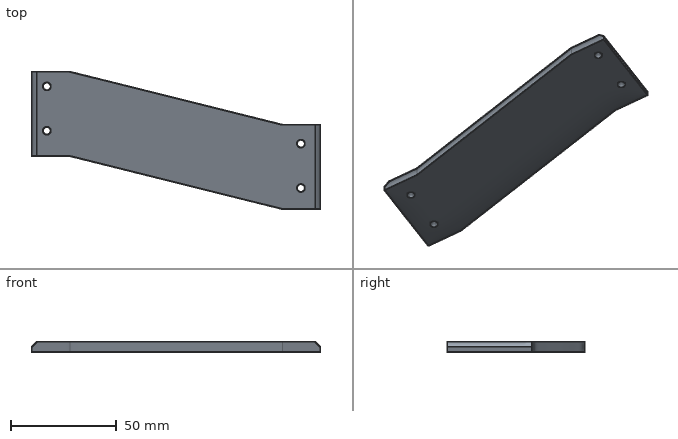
import cadquery as cq

total_length = 136.7
end_length = 18.0
width = 40.0
side_step = 25.11
thickness = 5.0
chamfer_size = 2.5

hole_diameter = 3.6
hole_spacing = 21.0
left_hole_inset = 7.2
left_hole_drop = 7.0
right_hole_inset = 9.2
right_hole_drop = 9.0

x_right = total_length / 2
x_left = -x_right
left_bend = x_left + end_length
right_bend = x_right - end_length
left_top = (width + side_step) / 2
left_bottom = left_top - width
right_top = left_top - side_step
right_bottom = right_top - width


def make_plate():
    """Flat plate with two parallel end tabs joined by a slanted middle."""
    outline = [
        (x_left, left_bottom),
        (left_bend, left_bottom),
        (right_bend, right_bottom),
        (x_right, right_bottom),
        (x_right, right_top),
        (right_bend, right_top),
        (left_bend, left_top),
        (x_left, left_top),
    ]
    return cq.Workplane("XY").polyline(outline).close().extrude(thickness)


def bevel_ends(plate):
    """Bevel the top edge of both end faces."""
    end_edges = plate.faces("<X or >X").edges(">Z")
    return end_edges.chamfer(chamfer_size)


def drill_pair(plate, x, upper_y):
    """Drill two through holes in a row along Y, the upper one at upper_y."""
    centres = [(x, upper_y), (x, upper_y - hole_spacing)]
    drills = cq.Workplane("XY").pushPoints(centres).circle(hole_diameter / 2).extrude(thickness)
    return plate.cut(drills)


result = bevel_ends(make_plate())
result = drill_pair(result, x_left + left_hole_inset, left_top - left_hole_drop)
result = drill_pair(result, x_right - right_hole_inset, right_top - right_hole_drop)